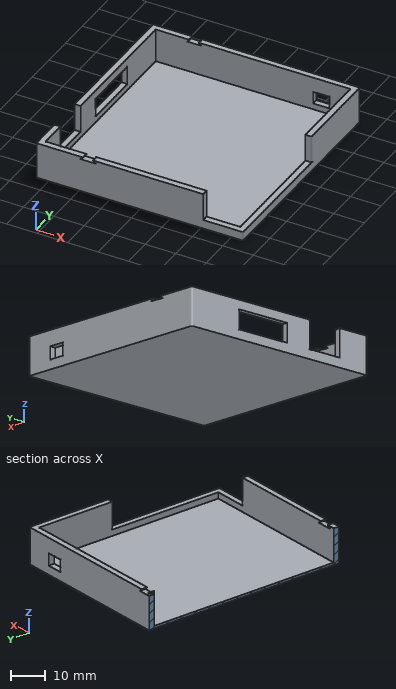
import cadquery as cq

LENGTH_X = 68.0
LENGTH_Y = 70.0
HEIGHT = 12.0
WALL = 2.0
FLOOR = 1.0
CORNER_RADIUS = 0.55

SILL = 3.0

OPEN_CORNER_X = 54.9
OPEN_CORNER_Y = 41.0

SLOT_Y = (11.0, 22.95)
WINDOW_Y = (32.0, 51.0)
WINDOW_TOP = 9.0

PORT_X = (53.7, 59.0)
PORT_TOP = 7.0

NOTCH_DEPTH = 0.85
FRONT_NOTCH_X = 17.1
FRONT_NOTCH_TOP_WIDTH = 3.2
FRONT_NOTCH_BOTTOM_WIDTH = 5.0
BACK_NOTCH_X = 14.6
BACK_NOTCH_TOP_WIDTH = 3.0
BACK_NOTCH_BOTTOM_WIDTH = 4.5

OVERCUT = 0.7


def block(x_range, y_range, z_range):
    """Box spanning the given (low, high) ranges along X, Y and Z."""
    ranges = (x_range, y_range, z_range)
    sizes = [high - low for low, high in ranges]
    corner = tuple(low for low, high in ranges)
    return cq.Workplane("XY").box(*sizes, centered=False).translate(corner)


def tray():
    """Open-topped box with rounded outer vertical edges."""
    body = block((0, LENGTH_X), (0, LENGTH_Y), (0, HEIGHT)).edges("|Z").fillet(CORNER_RADIUS)
    cavity = block((WALL, LENGTH_X - WALL), (WALL, LENGTH_Y - WALL), (FLOOR, HEIGHT + OVERCUT))
    return body.cut(cavity)


def dovetail_notch(center_x, top_width, bottom_width, wall_start_y):
    """Cutter through one wall, wider at its bottom than at the rim."""
    outline = [
        (center_x - bottom_width / 2, HEIGHT - NOTCH_DEPTH),
        (center_x + bottom_width / 2, HEIGHT - NOTCH_DEPTH),
        (center_x + top_width / 2, HEIGHT),
        (center_x - top_width / 2, HEIGHT),
    ]
    notch = cq.Workplane("XZ").polyline(outline).close().extrude(-WALL)
    return notch.translate((0, wall_start_y, 0))


left_wall_x = (-OVERCUT, WALL)
back_wall_y = (LENGTH_Y - WALL, LENGTH_Y + OVERCUT)
above_sill = (SILL, HEIGHT + OVERCUT)

open_corner = block((OPEN_CORNER_X, LENGTH_X + OVERCUT), (-OVERCUT, OPEN_CORNER_Y), above_sill)
slot = block(left_wall_x, SLOT_Y, above_sill)
window = block(left_wall_x, WINDOW_Y, (SILL, WINDOW_TOP))
port = block(PORT_X, back_wall_y, (SILL, PORT_TOP))
front_notch = dovetail_notch(FRONT_NOTCH_X, FRONT_NOTCH_TOP_WIDTH, FRONT_NOTCH_BOTTOM_WIDTH, 0)
back_notch = dovetail_notch(
    BACK_NOTCH_X, BACK_NOTCH_TOP_WIDTH, BACK_NOTCH_BOTTOM_WIDTH, LENGTH_Y - WALL
)

result = tray()
for cutter in (open_corner, slot, window, port, front_notch, back_notch):
    result = result.cut(cutter)

right_wall_end = (LENGTH_X, OPEN_CORNER_Y, (SILL + HEIGHT) / 2)
result = result.edges(cq.NearestToPointSelector(right_wall_end)).fillet(CORNER_RADIUS)